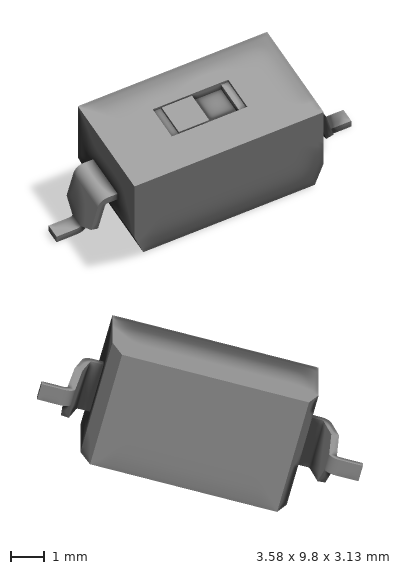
import cadquery as cq
import math

body_width = 3.58
body_length = 6.29
overall_height = 3.13
standoff = 0.07
undercut_inset = 0.29
undercut_height = 0.79

row_x = -0.05

slot_width = 1.21
slot_length = 2.51
slot_depth = 0.3
ledge_length = 0.24
ledge_depth = 0.1

knob_width = 1.09
knob_length = 1.01
knob_end_gap = 0.26

overall_length = 9.8
lead_width = 1.54
tip_width = 0.5
lead_thickness = 0.245
lead_top = 1.74
shoulder_y = 3.73
foot_corner_y = 4.13
inner_bend_radius = 0.1
outer_bend_radius = inner_bend_radius + lead_thickness
taper_start = 1.18
taper_length = 0.3

body_end = body_length / 2
slot_end = slot_length / 2


def block(width, y_low, y_high, z_low, z_high):
    """Box centred on the row line, given by its Y and Z limits."""
    size_y = y_high - y_low
    size_z = z_high - z_low
    box = cq.Workplane("XY").box(width, size_y, size_z, centered=(True, False, False))
    return box.translate((row_x, y_low, z_low))


def make_body():
    """Housing whose two ends slope inward towards the bottom."""
    slope_top = standoff + undercut_height
    bottom_end = body_end - undercut_inset
    outline = [
        (-body_end, overall_height),
        (-body_end, slope_top),
        (-bottom_end, standoff),
        (bottom_end, standoff),
        (body_end, slope_top),
        (body_end, overall_height),
    ]
    return cq.Workplane("YZ").polyline(outline).close().extrude(body_width / 2, both=True)


def cut_slot(body):
    """Open the slot, leaving the two end ledges and the slider knob standing."""
    floor = overall_height - slot_depth
    ledge_top = overall_height - ledge_depth
    knob_start = knob_end_gap - slot_end
    pocket = block(slot_width, -slot_end, slot_end, floor, overall_height)
    far_ledge = block(slot_width, slot_end - ledge_length, slot_end, floor, ledge_top)
    near_ledge = block(slot_width, -slot_end, knob_start, floor, ledge_top)
    knob = block(knob_width, knob_start, knob_start + knob_length, floor, overall_height)
    return body.cut(pocket.cut(far_ledge).cut(near_ledge).cut(knob))


def make_lead():
    """Lead at the +Y end: a bent strip that tapers to a narrow foot."""
    drop = lead_top - lead_thickness
    run = foot_corner_y - shoulder_y
    slant_length = math.hypot(run, drop)
    down_y = run / slant_length
    down_z = -drop / slant_length

    corner_shift = lead_thickness * (1 - down_y) / -down_z
    outline = [
        (body_end, lead_top),
        (shoulder_y, lead_top),
        (foot_corner_y, lead_thickness),
        (overall_length / 2, lead_thickness),
        (overall_length / 2, 0),
        (foot_corner_y - corner_shift, 0),
        (shoulder_y - corner_shift, lead_top - lead_thickness),
        (body_end, lead_top - lead_thickness),
    ]
    outer_corners = [outline[1], outline[5]]
    inner_corners = [outline[2], outline[6]]
    strip = cq.Workplane("YZ").polyline(outline).close().extrude(lead_width / 2, both=True)
    for corners, radius in ((outer_corners, outer_bend_radius), (inner_corners, inner_bend_radius)):
        for y, z in corners:
            strip = strip.edges(cq.selectors.NearestToPointSelector((0, y, z))).fillet(radius)

    slant = cq.Plane(
        origin=(0, shoulder_y, lead_top),
        xDir=(1, 0, 0),
        normal=(0, down_z, -down_y),
    )
    reach = overall_length / 2
    half_width = lead_width / 2
    half_tip = tip_width / 2
    taper_end = taper_start + taper_length
    silhouette = [
        (-half_width, reach),
        (-half_width, -taper_start),
        (-half_tip, -taper_end),
        (-half_tip, -reach),
        (half_tip, -reach),
        (half_tip, -taper_end),
        (half_width, -taper_start),
        (half_width, reach),
    ]
    trim = cq.Workplane(slant).polyline(silhouette).close().extrude(reach, both=True)
    return strip.intersect(trim).translate((row_x, 0, 0))


lead = make_lead()
opposite_lead = lead.mirror("XZ")
result = cut_slot(make_body()).union(lead).union(opposite_lead)